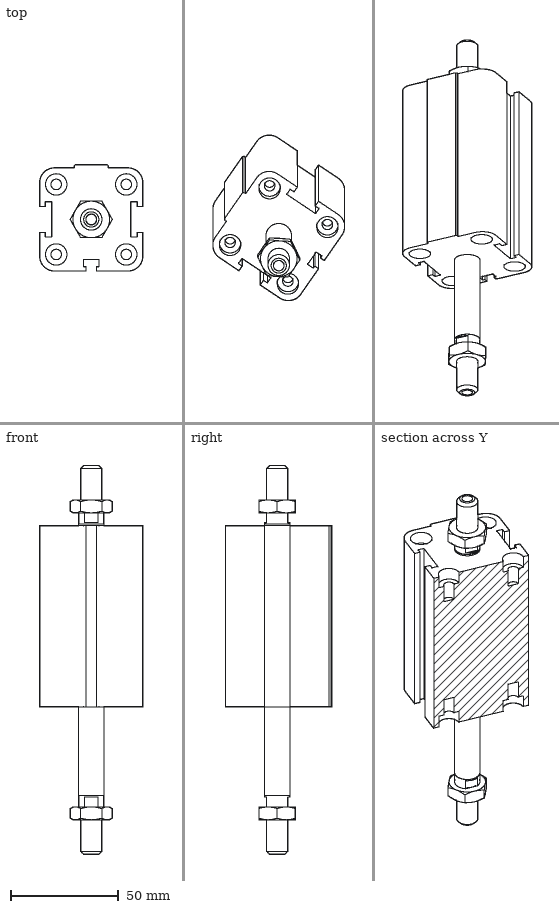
import cadquery as cq
import math

WIDTH = 48.0
LENGTH = 84.1
CORNER_RADIUS = 7.0
RIDGE_WIDTH = 15.9
RIDGE_HEIGHT = 1.5
RIDGE_CHAMFER = 0.5
SIDE_SLOT_MOUTH = 12.0
SIDE_SLOT_INNER = 16.2
SIDE_SLOT_LIP = 2.7
SIDE_SLOT_DEPTH = 5.6
FRONT_SLOT_MOUTH = 4.7
FRONT_SLOT_INNER = 7.0
FRONT_SLOT_LIP = 2.2
FRONT_SLOT_DEPTH = 5.5
SCREW_SPACING = 32.5
SCREW_HOLE_DIAMETER = 4.9
SCREW_HOLE_DEPTH = 14.5
COUNTERBORE_DIAMETER = 10.0
COUNTERBORE_DEPTH = 6.0

TOTAL_LENGTH = 180.5
TOP_REACH = 28.0
ROD_DIAMETER = 12.0
NECK_DIAMETER = 11.7
THREAD_DIAMETER = 10.0
ROD_BORE_DIAMETER = 4.9
THREAD_LENGTH = 22.0
NECK_END = 27.3
FLATS_END = 26.5
FLATS_WIDTH = 10.0
TIP_CHAMFER = 1.5

NUT_SIDES = 6
NUT_ACROSS_FLATS = 17.0
NUT_THICKNESS = 6.0
NUT_CHAMFER_ANGLE = 30.0

HALF_WIDTH = WIDTH / 2
TOP_TIP = LENGTH + TOP_REACH
BOTTOM_TIP = TOP_TIP - TOTAL_LENGTH
MIDDLE = LENGTH / 2


def t_slot(mouth, inner, lip, depth, turn):
    """T-slot cutter for the -Y side, turned about Z to the side it belongs to."""
    opening = cq.Workplane("XY").box(mouth, depth, LENGTH, centered=(True, False, False))
    undercut = (
        cq.Workplane("XY")
        .box(inner, depth - lip, LENGTH, centered=(True, False, False))
        .translate((0, lip, 0))
    )
    cutter = opening.union(undercut).translate((0, -HALF_WIDTH, 0))
    return cutter.rotate((0, 0, 0), (0, 0, 1), turn)


def screw_holes():
    """Counterbored blind holes at the corners of the upper end face."""
    def holes(diameter, depth):
        return (
            cq.Workplane("XY", origin=(0, 0, LENGTH))
            .rect(SCREW_SPACING, SCREW_SPACING, forConstruction=True)
            .vertices()
            .circle(diameter / 2)
            .extrude(-depth)
        )

    return holes(SCREW_HOLE_DIAMETER, SCREW_HOLE_DEPTH).union(
        holes(COUNTERBORE_DIAMETER, COUNTERBORE_DEPTH)
    )


def mirrored(shape):
    """The shape reflected end for end about the middle of the housing."""
    return shape.mirror("XY", (0, 0, MIDDLE))


def make_housing():
    body = (
        cq.Workplane("XY")
        .rect(WIDTH, WIDTH)
        .extrude(LENGTH)
        .edges("|Z")
        .fillet(CORNER_RADIUS)
    )
    ridge = (
        cq.Workplane("XY")
        .box(RIDGE_WIDTH, HALF_WIDTH + RIDGE_HEIGHT, LENGTH, centered=(True, False, False))
        .edges("|Z and >Y")
        .chamfer(RIDGE_CHAMFER)
    )
    body = body.union(ridge)

    body = body.cut(t_slot(FRONT_SLOT_MOUTH, FRONT_SLOT_INNER, FRONT_SLOT_LIP, FRONT_SLOT_DEPTH, 0))
    for turn in (-90, 90):
        body = body.cut(t_slot(SIDE_SLOT_MOUTH, SIDE_SLOT_INNER, SIDE_SLOT_LIP, SIDE_SLOT_DEPTH, turn))

    upper_holes = screw_holes()
    body = body.cut(upper_holes).cut(mirrored(upper_holes))
    rod_bore = cq.Workplane("XY").circle(ROD_DIAMETER / 2).extrude(LENGTH)
    return body.cut(rod_bore)


def rod_end(tip, inward):
    """One end of the rod: chamfered thread and a neck with two wrench flats.

    inward is +1 or -1, the direction along Z from the tip to the middle of the rod.
    """
    thread = cq.Workplane("XY").circle(THREAD_DIAMETER / 2).extrude(THREAD_LENGTH)
    thread = thread.faces("<Z").chamfer(TIP_CHAMFER)
    neck = (
        cq.Workplane("XY", origin=(0, 0, THREAD_LENGTH))
        .circle(NECK_DIAMETER / 2)
        .extrude(NECK_END - THREAD_LENGTH)
    )
    clearance = 2 * NECK_DIAMETER
    beside_flats = (
        cq.Workplane("XY", origin=(0, 0, THREAD_LENGTH))
        .rect(clearance, clearance)
        .rect(clearance, FLATS_WIDTH)
        .extrude(FLATS_END - THREAD_LENGTH)
    )
    end = thread.union(neck.cut(beside_flats))
    if inward < 0:
        end = end.mirror("XY")
    return end.translate((0, 0, tip))


def make_rod():
    shaft = (
        cq.Workplane("XY", origin=(0, 0, BOTTOM_TIP + NECK_END))
        .circle(ROD_DIAMETER / 2)
        .extrude(TOTAL_LENGTH - 2 * NECK_END)
    )
    rod = shaft.union(rod_end(BOTTOM_TIP, 1)).union(rod_end(TOP_TIP, -1))
    bore = (
        cq.Workplane("XY", origin=(0, 0, BOTTOM_TIP))
        .circle(ROD_BORE_DIAMETER / 2)
        .extrude(TOTAL_LENGTH)
    )
    return rod.cut(bore)


def make_nut(bottom):
    """Hexagon nut with corners along X, its corners bevelled by a cone at both ends."""
    face_radius = NUT_ACROSS_FLATS / 2
    corner_radius = face_radius / math.cos(math.pi / NUT_SIDES)
    bevel = (corner_radius - face_radius) * math.tan(math.radians(NUT_CHAMFER_ANGLE))
    hexagon = cq.Workplane("XY").polygon(NUT_SIDES, 2 * corner_radius).extrude(NUT_THICKNESS)
    envelope = (
        cq.Workplane("XZ")
        .moveTo(0, 0)
        .lineTo(face_radius, 0)
        .lineTo(corner_radius, bevel)
        .lineTo(corner_radius, NUT_THICKNESS - bevel)
        .lineTo(face_radius, NUT_THICKNESS)
        .lineTo(0, NUT_THICKNESS)
        .close()
        .revolve(360, (0, 0, 0), (0, 1, 0))
    )
    hole = cq.Workplane("XY").circle(THREAD_DIAMETER / 2).extrude(NUT_THICKNESS)
    return hexagon.intersect(envelope).cut(hole).translate((0, 0, bottom))


housing = make_housing()
rod = make_rod()

lower_nut_bottom = BOTTOM_TIP + THREAD_LENGTH - NUT_THICKNESS
upper_nut_bottom = TOP_TIP - THREAD_LENGTH
nuts = []
for nut_bottom in (lower_nut_bottom, upper_nut_bottom):
    nuts.append(make_nut(nut_bottom).val())

result = cq.Compound.makeCompound([housing.val(), rod.val(), *nuts])